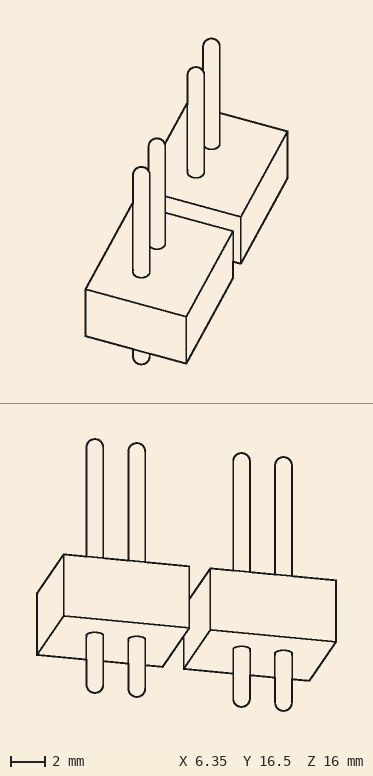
import cadquery as cq
import math

pitch = 2.54
pins_per_housing = 2
housing_width = 2.5 * pitch
housing_length = (pins_per_housing + 1) * pitch
housing_height = 3.9
housing_count = 2
housing_gap = 0.5 * pitch

pin_diameter = 1.0
pin_above = 8.5
pin_below = 3.6

pin_radius = pin_diameter / 2
pin_length = pin_below + housing_height + pin_above
housing_step = housing_length + housing_gap


def pin_positions(first_y):
    """Points of the pin row that starts at first_y."""
    return [(0, first_y + i * pitch) for i in range(pins_per_housing)]


def make_housing(first_y):
    """Plain block with one through hole for each pin."""
    block = cq.Workplane("XY").box(
        housing_width, housing_length, housing_height, centered=False
    ).translate((-pitch, first_y - pitch, 0))
    holes = (
        cq.Workplane("XY")
        .pushPoints(pin_positions(first_y))
        .circle(pin_radius)
        .extrude(housing_height)
    )
    return block.cut(holes)


def make_pin(position):
    """Round contact pin with hemispherical ends, passing through the housing."""
    x, y = position
    shoulder_low = pin_radius
    shoulder_high = pin_length - pin_radius
    bulge = pin_radius * math.sqrt(0.5)
    return (
        cq.Workplane("XZ")
        .moveTo(0, 0)
        .threePointArc((bulge, shoulder_low - bulge), (pin_radius, shoulder_low))
        .lineTo(pin_radius, shoulder_high)
        .threePointArc((bulge, shoulder_high + bulge), (0, pin_length))
        .close()
        .revolve(360, (0, 0), (0, 1))
        .translate((x, y, -pin_below))
    )


bodies = []
for index in range(housing_count):
    row_start = index * housing_step
    bodies.append(make_housing(row_start).val())
    for position in pin_positions(row_start):
        bodies.append(make_pin(position).val())

result = cq.Compound.makeCompound(bodies)